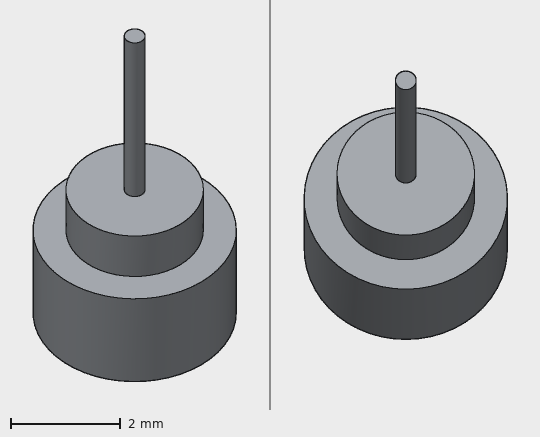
import cadquery as cq

BODY_DIAMETER = 3.7
BODY_HEIGHT = 2.05
NECK_DIAMETER = 2.5
NECK_HEIGHT = 1.0
INSERT_DIAMETER = 1.95
PIN_DIAMETER = 0.38
TOTAL_HEIGHT = 6.85

NECK_TOP = BODY_HEIGHT + NECK_HEIGHT


def cylinder(diameter, bottom, top):
    """Solid cylinder on the Z axis between two levels."""
    return cq.Workplane("XY").workplane(offset=bottom).circle(diameter / 2).extrude(top - bottom)


def make_shell():
    """Stepped housing with a bore in the neck for the insert."""
    body = cylinder(BODY_DIAMETER, 0, BODY_HEIGHT)
    neck = cylinder(NECK_DIAMETER, BODY_HEIGHT, NECK_TOP)
    bore = cylinder(INSERT_DIAMETER, BODY_HEIGHT, NECK_TOP)
    return body.union(neck).cut(bore)


def make_insert_with_pin():
    """Insert that fills the neck bore flush, carrying the long central pin."""
    insert = cylinder(INSERT_DIAMETER, BODY_HEIGHT, NECK_TOP)
    pin = cylinder(PIN_DIAMETER, NECK_TOP, TOTAL_HEIGHT)
    return insert.union(pin)


result = make_shell().union(make_insert_with_pin(), clean=False)